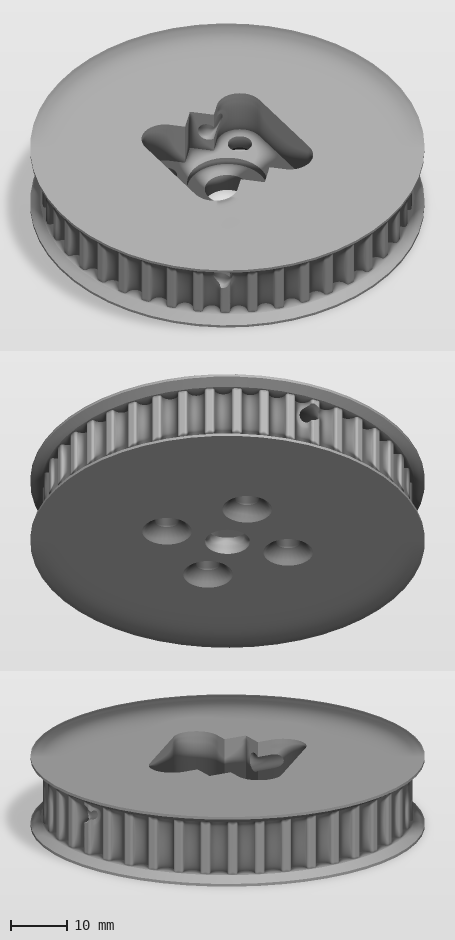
import cadquery as cq
import math


height = 13.0
flange_radius = 70.1 / 2
flange_edge = 0.5
flange_depth = 1.55
flange_ledge = 0.4

tooth_count = 42
tooth_pitch = 5.0
pitch_line_offset = 0.57
tip_radius = tooth_count * tooth_pitch / (2 * math.pi) - pitch_line_offset
groove_depth = 2.06
groove_radius = 1.53
tooth_tip_fillet = 0.48

pocket_depth = 8.2
screw_spacing = 16.0
screw_hole_diameter = 4.3
countersink_depth = 2.25
lobe_radius = 4.15
side_point = 12.0

bore_diameter = 8.0
counterbore_diameter = 14.3
counterbore_depth = 1.4

set_screw_diameter = 3.49
set_screw_depth = pocket_depth / 2
set_screw_offset = 5.3

pocket_floor = height - pocket_depth


def make_blank():
    """Spool with a plain cylindrical rim between the bevelled flanges."""
    profile = [
        (0, 0),
        (flange_radius, 0),
        (flange_radius, flange_edge),
        (tip_radius + flange_ledge, flange_depth),
        (tip_radius, flange_depth),
        (tip_radius, height - flange_depth),
        (tip_radius + flange_ledge, height - flange_depth),
        (flange_radius, height - flange_edge),
        (flange_radius, height),
        (0, height),
    ]
    return cq.Workplane("XZ").polyline(profile).close().revolve(360, (0, 0, 0), (0, 1, 0))


def make_groove_cutters():
    """All round-bottomed grooves, with mouths flared to round the tooth tips; teeth lie on X."""
    floor_centre = tip_radius - groove_depth + groove_radius
    pitch_angle = 360 / tooth_count
    rim_height = height - 2 * flange_depth
    rim = cq.Workplane("XY").workplane(offset=flange_depth).circle(tip_radius).extrude(rim_height)
    groove = (
        cq.Workplane("XY")
        .workplane(offset=flange_depth)
        .moveTo(flange_radius, -groove_radius)
        .lineTo(floor_centre, -groove_radius)
        .threePointArc((floor_centre - groove_radius, 0), (floor_centre, groove_radius))
        .lineTo(flange_radius, groove_radius)
        .close()
        .extrude(rim_height)
    )
    toothed_rim = rim
    for index in range(tooth_count):
        toothed_rim = toothed_rim.cut(groove.rotate((0, 0, 0), (0, 0, 1), pitch_angle * (index + 0.5)))
    corner_reach = tip_radius - tooth_tip_fillet / 2
    corners = toothed_rim.edges("|Z").filter(
        lambda edge: math.hypot(edge.Center().x, edge.Center().y) > corner_reach
    )
    return rim.cut(corners.fillet(tooth_tip_fillet))


def make_pocket():
    """Hub pocket from its floor to the top face."""
    lobe_centre = screw_spacing / 2
    lobe_edge = lobe_centre + lobe_radius
    diagonal = lobe_radius * math.sqrt(0.5)
    lobe_outer = lobe_centre + diagonal
    lobe_inner = lobe_centre - diagonal
    notch_y = (side_point - (lobe_outer - lobe_inner)) / 2
    notch_x = side_point - notch_y
    right_half = (
        cq.Workplane("XY")
        .workplane(offset=pocket_floor)
        .moveTo(0, lobe_edge)
        .lineTo(lobe_centre, lobe_edge)
        .threePointArc((lobe_outer, lobe_outer), (lobe_outer, lobe_inner))
        .lineTo(notch_x, notch_y)
        .lineTo(side_point, 0)
        .lineTo(notch_x, -notch_y)
        .lineTo(lobe_outer, -lobe_inner)
        .threePointArc((lobe_outer, -lobe_outer), (lobe_centre, -lobe_edge))
        .lineTo(0, -lobe_edge)
        .close()
        .extrude(pocket_depth)
    )
    return right_half.union(right_half.mirror("YZ")).clean()


def make_bore():
    """Centre bore with its counterbore in the pocket floor."""
    bore = cq.Workplane("XY").circle(bore_diameter / 2).extrude(pocket_floor)
    counterbore = (
        cq.Workplane("XY")
        .workplane(offset=pocket_floor - counterbore_depth)
        .circle(counterbore_diameter / 2)
        .extrude(counterbore_depth)
    )
    return bore.union(counterbore)


def make_screw_hole(x, y):
    """Screw hole below the pocket, countersunk from the bottom face."""
    hole_radius = screw_hole_diameter / 2
    profile = [
        (0, 0),
        (hole_radius + countersink_depth, 0),
        (hole_radius, countersink_depth),
        (hole_radius, pocket_floor),
        (0, pocket_floor),
    ]
    hole = cq.Workplane("XZ").polyline(profile).close().revolve(360, (0, 0, 0), (0, 1, 0))
    return hole.translate((x, y, 0))


def make_set_screw_hole(direction_angle):
    """Hole from a 45 degree pocket face out through the rim, heading along direction_angle."""
    face_distance = side_point * math.sqrt(0.5)
    hole = (
        cq.Workplane("YZ")
        .workplane(offset=face_distance)
        .center(set_screw_offset, height - set_screw_depth)
        .circle(set_screw_diameter / 2)
        .extrude(flange_radius - face_distance)
    )
    return hole.rotate((0, 0, 0), (0, 0, 1), direction_angle)


result = make_blank().cut(make_groove_cutters()).cut(make_pocket()).cut(make_bore())
for side_x in (-1, 1):
    for side_y in (-1, 1):
        result = result.cut(make_screw_hole(side_x * screw_spacing / 2, side_y * screw_spacing / 2))
for hole_angle in (-45, 135):
    result = result.cut(make_set_screw_hole(hole_angle))